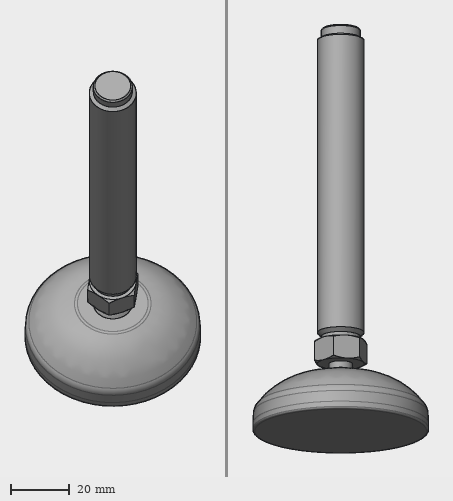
import cadquery as cq
import math

total_height = 141.7

foot_radius = 60.0 / 2
foot_bottom_fillet = 0.7
foot_rim_height = 2.5
side_top_radius = 29.8
side_top = 6.4
dome_base_radius = 28.6
dome_base = 8.8
dome_middle_radius = 22.1
dome_middle = 15.0
dome_top_radius = 13.0
foot_height = 19.0
foot_top_radius = 12.0
foot_top_drop = 0.1

neck_radius = 8.1 / 2
ball_radius = 8.1
ball_top = 21.4

hex_sides = 6
hex_across_flats = 16.0
hex_inscribed_radius = hex_across_flats / 2
hex_bottom = 23.7
hex_thickness = 8.1
hex_chamfer_angle = 30.0

rod_radius = 16.0 / 2
rod_bottom = 33.3
rod_top = 138.5
rod_top_chamfer_angle = 30.0

spigot_radius = 6.7
spigot_edge_chamfer = 0.5

hex_top = hex_bottom + hex_thickness
rod_bottom_chamfer = rod_radius - spigot_radius
rod_top_chamfer = rod_bottom_chamfer * math.tan(math.radians(rod_top_chamfer_angle))


def make_foot():
    """Domed foot with a tapered side, a rounded shoulder and a softened top edge."""
    profile = (
        cq.Workplane("XZ")
        .lineTo(foot_radius - foot_bottom_fillet, 0)
        .tangentArcPoint((foot_radius, foot_bottom_fillet), relative=False)
        .lineTo(foot_radius, foot_rim_height)
        .lineTo(side_top_radius, side_top)
        .tangentArcPoint((dome_base_radius, dome_base), relative=False)
        .threePointArc(
            (dome_middle_radius, dome_middle),
            (dome_top_radius, foot_height - foot_top_drop),
        )
        .lineTo(foot_top_radius, foot_height)
        .lineTo(0, foot_height)
        .close()
    )
    return profile.revolve(360, (0, 0, 0), (0, 1, 0))


def make_stem():
    """Exposed ball cap and neck, collar, rod with chamfered ends and the end spigot."""
    ball_center = ball_top - math.sqrt(ball_radius**2 - neck_radius**2)

    def ball_section_radius(height):
        return math.sqrt(ball_radius**2 - (height - ball_center) ** 2)

    cap_middle = (foot_height + ball_top) / 2
    profile = (
        cq.Workplane("XZ")
        .moveTo(0, foot_height)
        .lineTo(ball_section_radius(foot_height), foot_height)
        .threePointArc((ball_section_radius(cap_middle), cap_middle), (neck_radius, ball_top))
        .lineTo(neck_radius, hex_top)
        .lineTo(spigot_radius, hex_top)
        .lineTo(spigot_radius, rod_bottom)
        .lineTo(rod_radius, rod_bottom + rod_bottom_chamfer)
        .lineTo(rod_radius, rod_top - rod_top_chamfer)
        .lineTo(spigot_radius, rod_top)
        .lineTo(spigot_radius, total_height - spigot_edge_chamfer)
        .lineTo(spigot_radius - spigot_edge_chamfer, total_height)
        .lineTo(0, total_height)
        .close()
    )
    return profile.revolve(360, (0, 0, 0), (0, 1, 0))


def make_hexagon():
    """Hexagon with flats facing +X and -X and corners chamfered at both ends."""
    half_side_angle = 180 / hex_sides
    corner_radius = hex_inscribed_radius / math.cos(math.radians(half_side_angle))
    chamfer_height = (corner_radius - hex_inscribed_radius) * math.tan(math.radians(hex_chamfer_angle))
    prism = (
        cq.Workplane("XY", origin=(0, 0, hex_bottom))
        .polygon(hex_sides, 2 * corner_radius)
        .extrude(hex_thickness)
        .rotate((0, 0, 0), (0, 0, 1), half_side_angle)
    )
    envelope = (
        cq.Workplane("XZ")
        .moveTo(0, hex_bottom)
        .lineTo(hex_inscribed_radius, hex_bottom)
        .lineTo(corner_radius, hex_bottom + chamfer_height)
        .lineTo(corner_radius, hex_top - chamfer_height)
        .lineTo(hex_inscribed_radius, hex_top)
        .lineTo(0, hex_top)
        .close()
        .revolve(360, (0, 0, 0), (0, 1, 0))
    )
    return prism.intersect(envelope)


result = make_foot().union(make_stem()).union(make_hexagon())